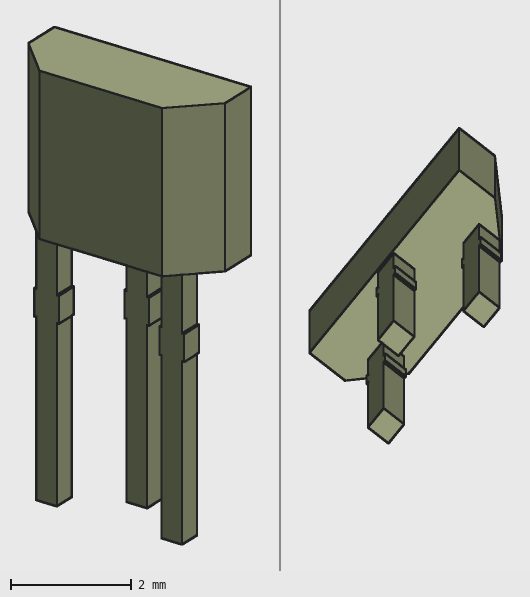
import cadquery as cq

total_height = 8.11
body_width = 4.0
body_depth = 1.52
body_height = 3.115
front_chamfer = 0.755

lead_pitch = 1.27
lead_width = 0.42
lead_depth = 0.44
middle_lead_y = -0.25
outer_lead_y = -1.055

band_width = 0.5
band_height = 0.52
band_bottom = 3.39

body_bottom = total_height - body_height


def make_body():
    block = (
        cq.Workplane("XY", origin=(0, -body_depth / 2, body_bottom))
        .box(body_width, body_depth, body_height, centered=(True, True, False))
    )
    return block.edges("|Z and <Y").chamfer(front_chamfer)


def make_lead(x, y):
    shank = (
        cq.Workplane("XY", origin=(x, y, 0))
        .box(lead_width, lead_depth, body_bottom, centered=(True, True, False))
    )
    band = (
        cq.Workplane("XY", origin=(x, y, band_bottom))
        .box(band_width, lead_depth, band_height, centered=(True, True, False))
    )
    return shank.union(band)


lead_positions = [
    (-lead_pitch, outer_lead_y),
    (0, middle_lead_y),
    (lead_pitch, outer_lead_y),
]

result = make_body()
for lead_x, lead_y in lead_positions:
    result = result.union(make_lead(lead_x, lead_y))